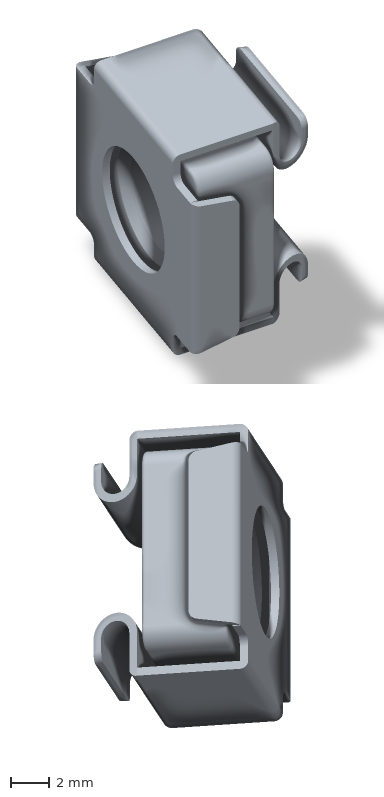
import cadquery as cq
import math

SPAN = 13.5
HALF_SPAN = SPAN / 2
DEPTH = 8.45
SHEET = 0.45
CLIP_WIDTH = 8.83
WING_HEIGHT = 10.05
WING_DEPTH = 2.7
WING_TAPER = 10.0
CORNER_RADIUS = 0.5
CAGE_HOLE = 6.99

HOOK_RADIUS = 1.25
HOOK_CENTRE_Z = 4.32
HOOK_TIP_Z = 5.51
HOOK_TIP_WIDTH = 7.05
HOOK_CENTRE_Y = DEPTH - HOOK_RADIUS
CLIP_BACK = DEPTH - 2 * HOOK_RADIUS + SHEET
TAPER_START = CLIP_BACK - SHEET

NUT_SIZE = 10.96
NUT_FRONT = 0.93
NUT_BACK = 5.48
NUT_CORNER_RADIUS = 1.0
NUT_EDGE_RADIUS = 0.19
NUT_BORE = 6.0
NUT_COUNTERSINK_DEPTH = (CAGE_HOLE - NUT_BORE) / 2


def block(x_size, y_from, y_to, z_size):
    """Box centred on the Y axis, running between two Y positions."""
    return cq.Workplane("XY").box(x_size, y_to - y_from, z_size, centered=(True, False, True)).translate(
        (0, y_from, 0)
    )


def make_front_plate():
    """Flat cross between the bends, with rounded notches and the centre hole."""
    flat = SPAN - 2 * SHEET
    plate = block(CLIP_WIDTH, 0, SHEET, flat).union(block(flat, 0, SHEET, WING_HEIGHT))
    notch_edges = cq.selectors.BoxSelector(
        (-CLIP_WIDTH / 2 - 0.14, -0.14, -WING_HEIGHT / 2 - 0.14),
        (CLIP_WIDTH / 2 + 0.14, SHEET + 0.14, WING_HEIGHT / 2 + 0.14),
    )
    plate = plate.edges("|Y").edges(notch_edges).fillet(CORNER_RADIUS)
    hole = cq.Workplane("XZ").circle(CAGE_HOLE / 2).extrude(-SHEET)
    return plate.cut(hole)


def make_wing():
    """Right-hand wing: L-shaped bend with tapered edges and rounded free corners."""
    bend_x = HALF_SPAN - SHEET
    wing = (
        cq.Workplane("XY", origin=(0, 0, -WING_HEIGHT / 2))
        .moveTo(bend_x, 0)
        .radiusArc((HALF_SPAN, SHEET), -SHEET)
        .lineTo(HALF_SPAN, WING_DEPTH)
        .lineTo(bend_x, WING_DEPTH)
        .close()
        .extrude(WING_HEIGHT)
    )
    tip_half_height = WING_HEIGHT / 2 - WING_DEPTH * math.tan(math.radians(WING_TAPER))
    outline = (
        cq.Workplane("YZ")
        .polyline([
            (0, -WING_HEIGHT / 2),
            (WING_DEPTH, -tip_half_height),
            (WING_DEPTH, tip_half_height),
            (0, WING_HEIGHT / 2),
        ])
        .close()
        .extrude(HALF_SPAN)
        .edges("|X and >Y")
        .fillet(CORNER_RADIUS)
    )
    return wing.intersect(outline)


def make_clip():
    """Upper clip: top strip, back leg and U-shaped hook, narrowing to the rear."""
    bend_z = HALF_SPAN - SHEET
    hook_inner_radius = HOOK_RADIUS - SHEET
    clip = (
        cq.Workplane("YZ", origin=(-CLIP_WIDTH / 2, 0, 0))
        .moveTo(0, bend_z)
        .radiusArc((SHEET, HALF_SPAN), SHEET)
        .lineTo(CLIP_BACK - SHEET, HALF_SPAN)
        .radiusArc((CLIP_BACK, bend_z), SHEET)
        .lineTo(CLIP_BACK, HOOK_CENTRE_Z)
        .threePointArc((HOOK_CENTRE_Y, HOOK_CENTRE_Z - hook_inner_radius), (DEPTH - SHEET, HOOK_CENTRE_Z))
        .lineTo(DEPTH - SHEET, HOOK_TIP_Z)
        .lineTo(DEPTH, HOOK_TIP_Z)
        .lineTo(DEPTH, HOOK_CENTRE_Z)
        .threePointArc((HOOK_CENTRE_Y, HOOK_CENTRE_Z - HOOK_RADIUS), (TAPER_START, HOOK_CENTRE_Z))
        .lineTo(TAPER_START, bend_z)
        .lineTo(0, bend_z)
        .close()
        .extrude(CLIP_WIDTH)
    )
    outline = (
        cq.Workplane("XY")
        .polyline([
            (-CLIP_WIDTH / 2, 0),
            (CLIP_WIDTH / 2, 0),
            (CLIP_WIDTH / 2, TAPER_START),
            (HOOK_TIP_WIDTH / 2, DEPTH),
            (-HOOK_TIP_WIDTH / 2, DEPTH),
            (-CLIP_WIDTH / 2, TAPER_START),
        ])
        .close()
        .extrude(HALF_SPAN)
    )
    clip = clip.intersect(outline)
    tip_corners = cq.selectors.BoxSelector(
        (-HALF_SPAN, DEPTH - SHEET - 0.14, HOOK_TIP_Z - 0.14),
        (HALF_SPAN, DEPTH + 0.14, HOOK_TIP_Z + 0.14),
    )
    return clip.edges(tip_corners).edges("not(|X or |Z)").fillet(CORNER_RADIUS)


def make_cage():
    wing = make_wing()
    clip = make_clip()
    cage = make_front_plate()
    for bent_part in (wing, wing.mirror("YZ"), clip, clip.mirror("XY")):
        cage = cage.union(bent_part)
    return cage


def make_nut():
    """Square nut with rounded edges and a bore countersunk at the front."""
    nut = block(NUT_SIZE, NUT_FRONT, NUT_BACK, NUT_SIZE).edges("|Y").fillet(NUT_CORNER_RADIUS)
    nut = nut.faces("<Y or >Y").edges().fillet(NUT_EDGE_RADIUS)
    bore = (
        cq.Workplane("XY")
        .polyline([
            (0, NUT_FRONT),
            (CAGE_HOLE / 2, NUT_FRONT),
            (NUT_BORE / 2, NUT_FRONT + NUT_COUNTERSINK_DEPTH),
            (NUT_BORE / 2, NUT_BACK),
            (0, NUT_BACK),
        ])
        .close()
        .revolve(360, (0, 0, 0), (0, 1, 0))
    )
    return nut.cut(bore)


cage = make_cage()
nut = make_nut()
result = cq.Compound.makeCompound([cage.val(), nut.val()])